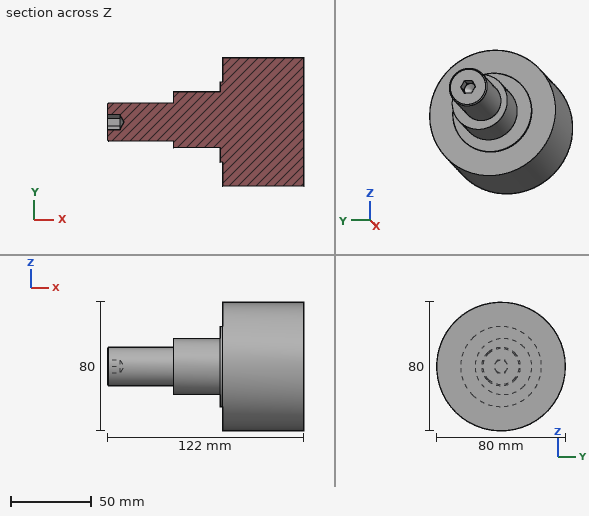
import cadquery as cq
import math

ROLLER_DIAMETER = 80.0
ROLLER_WIDTH = 50.5
FLANGE_DIAMETER = 50.0
FLANGE_THICKNESS = 1.5
COLLAR_DIAMETER = 35.0
COLLAR_LENGTH = 29.0
COLLAR_OFFSET_Y = 1.5
STUD_DIAMETER = 24.0
STUD_LENGTH = 41.0
STUD_CHAMFER = 0.8

HEX_SIDES = 6
HEX_ACROSS_FLATS = 8.0
HEX_DEPTH = 8.0
DRILL_POINT_ANGLE = 120.0

collar_start = STUD_LENGTH
flange_start = collar_start + COLLAR_LENGTH
roller_start = flange_start + FLANGE_THICKNESS


def cylinder_along_x(start, length, diameter, offset_y=0.0):
    """Solid cylinder whose axis is parallel to X."""
    return (
        cq.Workplane("YZ", origin=(start, offset_y, 0))
        .circle(diameter / 2)
        .extrude(length)
    )


def make_stud():
    stud = cylinder_along_x(0, STUD_LENGTH, STUD_DIAMETER)
    return stud.faces("<X").edges().chamfer(STUD_CHAMFER)


def make_hex_socket():
    """Hexagonal key socket with corners on the Y axis and a conical bottom."""
    across_corners = HEX_ACROSS_FLATS / math.cos(math.pi / HEX_SIDES)
    hexagon = cq.Workplane("YZ").polygon(HEX_SIDES, across_corners).extrude(HEX_DEPTH)
    cone_radius = HEX_ACROSS_FLATS / 2
    cone_height = cone_radius / math.tan(math.radians(DRILL_POINT_ANGLE / 2))
    cone_base = cq.Vector(HEX_DEPTH, 0, 0)
    cone_axis = cq.Vector(1, 0, 0)
    cone = cq.Solid.makeCone(cone_radius, 0, cone_height, pnt=cone_base, dir=cone_axis)
    return hexagon.union(cq.Workplane(obj=cone))


collar = cylinder_along_x(collar_start, COLLAR_LENGTH, COLLAR_DIAMETER, COLLAR_OFFSET_Y)
flange = cylinder_along_x(flange_start, FLANGE_THICKNESS, FLANGE_DIAMETER)
roller = cylinder_along_x(roller_start, ROLLER_WIDTH, ROLLER_DIAMETER)

result = make_stud().union(collar).union(flange).union(roller).cut(make_hex_socket())